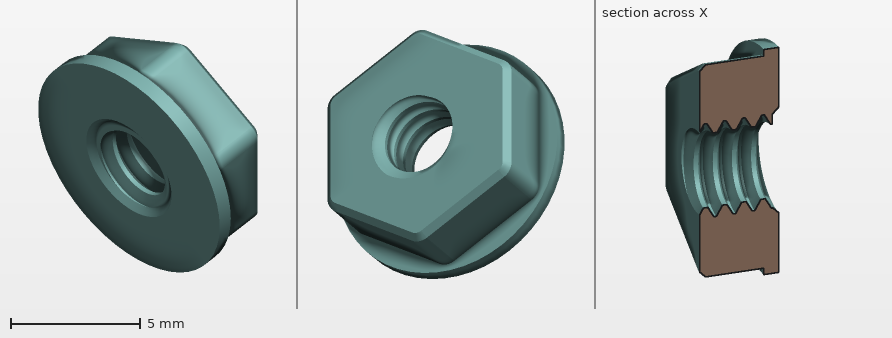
import cadquery as cq
import math

FLANGE_DIAMETER = 9.525
FLANGE_THICKNESS = 0.635
TOTAL_HEIGHT = 3.302

ACROSS_FLATS = 7.9375
HEX_SIDES = 6
HEX_CORNER_RADIUS = 0.635
HEX_TOP_CHAMFER = 0.254

THREAD_PITCH = 0.794
THREAD_MINOR_RADIUS = 1.545
THREAD_MAJOR_RADIUS = 1.98
THREAD_FLANK_ANGLE = 30
ROOT_FLAT = THREAD_PITCH / 8

COUNTERSINK_RADIUS = 2.235
COUNTERSINK_DEPTH = 0.265
COUNTERSINK_FLOOR_RADIUS = COUNTERSINK_RADIUS - COUNTERSINK_DEPTH

CUT_OVERLAP = 0.1


def disc(radius, height):
    """Cylinder on the Y axis from Y = 0 to Y = height."""
    return cq.Workplane("XZ").circle(radius).extrude(-height)


def hex_body():
    """Hexagon with two flats facing +X and -X, rounded corners and a chamfered top."""
    across_corners = ACROSS_FLATS / math.cos(math.pi / HEX_SIDES)
    body = (
        cq.Workplane("XZ")
        .transformed(rotate=(0, 0, 90))
        .polygon(HEX_SIDES, across_corners)
        .extrude(-TOTAL_HEIGHT)
    )
    body = body.edges("|Y").fillet(HEX_CORNER_RADIUS)
    return body.faces(">Y").chamfer(HEX_TOP_CHAMFER)


def countersink():
    """Cone frustum that narrows from the bearing face to its flat floor."""
    return (
        cq.Workplane("XY")
        .lineTo(COUNTERSINK_RADIUS, 0)
        .lineTo(COUNTERSINK_FLOOR_RADIUS, COUNTERSINK_DEPTH)
        .lineTo(0, COUNTERSINK_DEPTH)
        .close()
        .revolve(360, (0, 0, 0), (0, 1, 0))
    )


def thread_groove():
    """Right-hand helical groove, centred on -Z where it meets the countersink floor."""
    slope = math.tan(math.radians(THREAD_FLANK_ANGLE))
    inner_radius = THREAD_MINOR_RADIUS - CUT_OVERLAP
    root_half = ROOT_FLAT / 2
    mouth_half = root_half + (THREAD_MAJOR_RADIUS - inner_radius) * slope
    turns = math.ceil(TOTAL_HEIGHT / THREAD_PITCH)
    helix = cq.Wire.makeHelix(THREAD_PITCH, turns * THREAD_PITCH, THREAD_MINOR_RADIUS)
    groove = (
        cq.Workplane("XZ")
        .moveTo(inner_radius, -mouth_half)
        .lineTo(THREAD_MAJOR_RADIUS, -root_half)
        .lineTo(THREAD_MAJOR_RADIUS, root_half)
        .lineTo(inner_radius, mouth_half)
        .close()
        .sweep(cq.Workplane(obj=helix), isFrenet=True)
    )
    groove = groove.rotate((0, 0, 0), (1, 0, 0), -90)
    groove = groove.rotate((0, 0, 0), (0, 1, 0), -90)
    start_height = COUNTERSINK_DEPTH - THREAD_PITCH / 2
    return groove.translate((0, start_height, 0))


nut = disc(FLANGE_DIAMETER / 2, FLANGE_THICKNESS).union(hex_body())
nut = nut.cut(disc(THREAD_MINOR_RADIUS, TOTAL_HEIGHT))
nut = nut.cut(thread_groove())
result = nut.cut(countersink())